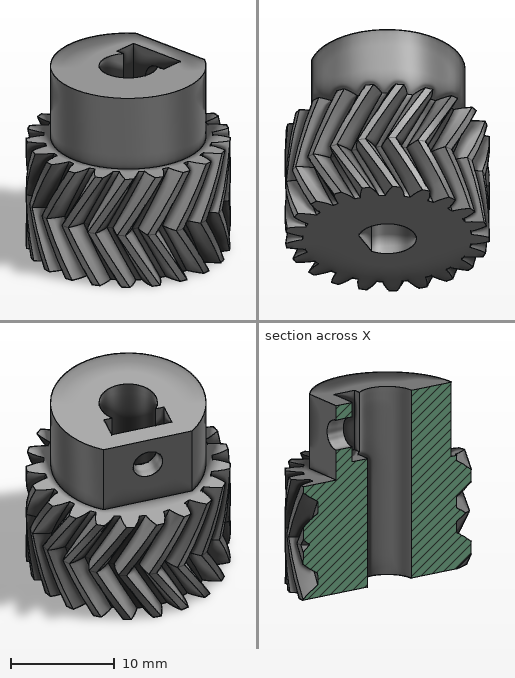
import cadquery as cq
import math

tooth_count = 21
tip_radius = 9.84
mid_radius = 9.05
root_radius = 8.15
tip_width = 0.79
mid_width = 1.42
root_width = 1.85
lower_height = 5.5
upper_height = 6.0
upper_twist = 21.6

hub_diameter = 15.0
hub_height = 7.5
hub_flat_y = 6.0

bore_diameter = 5.6
bore_flat_y = 2.3

pocket_width = 6.1
pocket_near_y = 1.73
pocket_far_y = 4.11
screw_diameter = 3.0
screw_depth = 3.0

gear_height = lower_height + upper_height
total_height = gear_height + hub_height
screw_z = total_height - screw_depth
pocket_depth = 2 * screw_depth
pitch_angle = 360 / tooth_count
twist_rate = upper_twist / upper_height
lower_twist = twist_rate * lower_height
top_tooth_angle = 90.0
middle_tooth_angle = top_tooth_angle - upper_twist


def polar(radius, degrees):
    angle = math.radians(degrees)
    return (radius * math.cos(angle), radius * math.sin(angle))


def half_angle(width, radius):
    """Half the angle, in degrees, that a chord of this width spans at this radius."""
    return math.degrees(math.asin(width / 2 / radius))


def gear_section(plane_z, first_tooth_angle):
    """Closed gear outline with arc flanks, tips and roots."""
    root_half = half_angle(root_width, root_radius)
    mid_half = half_angle(mid_width, mid_radius)
    tip_half = half_angle(tip_width, tip_radius)
    start = polar(root_radius, first_tooth_angle - root_half)
    outline = cq.Workplane("XY", origin=(0, 0, plane_z)).moveTo(*start)
    for tooth in range(tooth_count):
        center = first_tooth_angle + tooth * pitch_angle
        next_center = center + pitch_angle
        outline = outline.threePointArc(
            polar(mid_radius, center - mid_half), polar(tip_radius, center - tip_half)
        )
        outline = outline.threePointArc(
            polar(tip_radius, center), polar(tip_radius, center + tip_half)
        )
        outline = outline.threePointArc(
            polar(mid_radius, center + mid_half), polar(root_radius, center + root_half)
        )
        root_end = polar(root_radius, next_center - root_half)
        if tooth == tooth_count - 1:
            root_end = start
        outline = outline.threePointArc(
            polar(root_radius, center + pitch_angle / 2), root_end
        )
    return outline.close()


def herringbone_gear():
    lower = gear_section(0, middle_tooth_angle + lower_twist).twistExtrude(lower_height, -lower_twist)
    upper = gear_section(lower_height, middle_tooth_angle).twistExtrude(upper_height, upper_twist)
    return lower.union(upper)


def flat_sided_cylinder(diameter, flat_y, bottom_z, height):
    """Cylinder on the Z axis, cut off by a flat facing +Y."""
    radius = diameter / 2
    depth = radius + flat_y
    keep = cq.Workplane("XY").box(diameter, depth, height, centered=(True, False, False))
    keep = keep.translate((0, -radius, 0))
    cylinder = cq.Workplane("XY").circle(radius).extrude(height)
    return cylinder.intersect(keep).translate((0, 0, bottom_z))


def nut_pocket():
    pocket_length = pocket_far_y - pocket_near_y
    pocket = cq.Workplane("XY").box(
        pocket_width, pocket_length, pocket_depth, centered=(True, False, False)
    )
    return pocket.translate((0, pocket_near_y, total_height - pocket_depth))


def screw_hole():
    """Radial hole from the bore out through the hub flat."""
    return cq.Workplane("XZ", origin=(0, 0, screw_z)).circle(screw_diameter / 2).extrude(-hub_flat_y)


hub = flat_sided_cylinder(hub_diameter, hub_flat_y, gear_height, hub_height)
bore = flat_sided_cylinder(bore_diameter, bore_flat_y, 0, total_height)

result = herringbone_gear().union(hub).cut(bore).cut(nut_pocket()).cut(screw_hole())